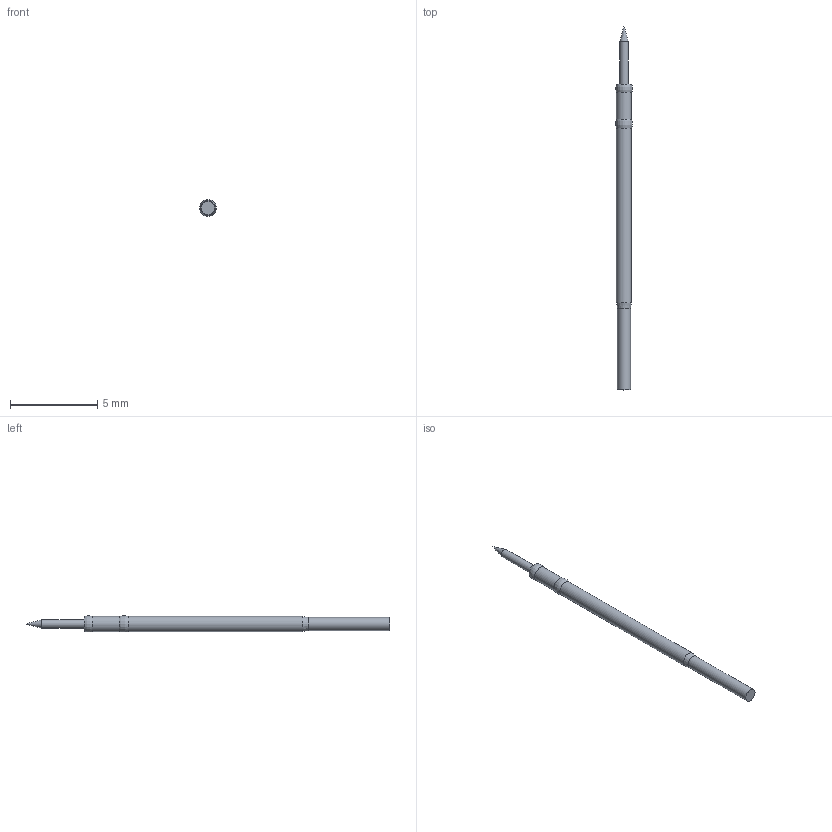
import cadquery as cq
import math


tail_diameter = 0.75
barrel_diameter = 0.86
bead_diameter = 0.97
plunger_diameter = 0.48

overall_length = 20.85
tip_cone_angle = 30.0
tail_length = 4.68
shoulder_taper_length = 0.32
press_ring_start = 15.0
press_ring_width = 0.5
mouth_bead_width = 0.45
barrel_end = 17.5

tail_radius = tail_diameter / 2
barrel_radius = barrel_diameter / 2
bead_radius = bead_diameter / 2
plunger_radius = plunger_diameter / 2
shoulder_end = tail_length + shoulder_taper_length
press_ring_end = press_ring_start + press_ring_width
mouth_bead_start = barrel_end - mouth_bead_width
tip_length = plunger_radius / math.tan(math.radians(tip_cone_angle / 2))
tip_start = overall_length - tip_length


def add_bead(profile, start, end):
    """Extend the profile with a rounded bead that bulges from the barrel surface."""
    crest = (bead_radius, (start + end) / 2)
    return profile.lineTo(barrel_radius, start).threePointArc(crest, (barrel_radius, end))


def tail_and_shoulder():
    """Start the half profile: flat tail end, tail and the taper up to the barrel."""
    return (
        cq.Workplane("XY")
        .lineTo(tail_radius, 0)
        .lineTo(tail_radius, tail_length)
        .lineTo(barrel_radius, shoulder_end)
    )


def add_plunger(profile):
    """Extend the profile with the flat barrel mouth, the plunger and its needle point."""
    return (
        profile.lineTo(plunger_radius, barrel_end)
        .lineTo(plunger_radius, tip_start)
        .lineTo(0, overall_length)
    )


half_profile = tail_and_shoulder()
half_profile = add_bead(half_profile, press_ring_start, press_ring_end)
half_profile = add_bead(half_profile, mouth_bead_start, barrel_end)
half_profile = add_plunger(half_profile).close()

result = half_profile.revolve(360, (0, 0, 0), (0, 1, 0))